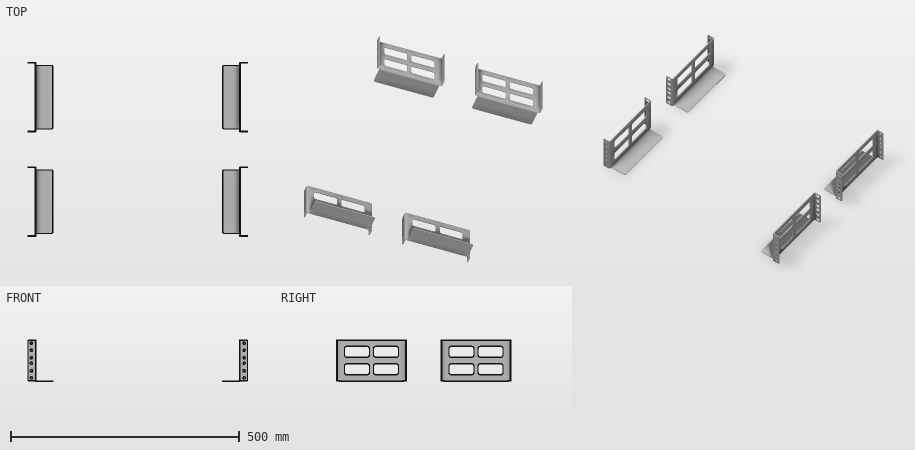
import cadquery as cq

set_width = 480.77
set_depth = 381.0
bracket_height = 90.73
bracket_length = 152.4

sheet = 1.83
ear_bend_inner = 0.6
ear_bend_outer = ear_bend_inner + sheet
shelf_bend_inner = 1.1
shelf_bend_outer = shelf_bend_inner + sheet

ear_width = 17.6
ear_corner = 2.5

shelf_reach = 37.3
shelf_length = 139.7
shelf_corner = 3.8

hole_diameter = 4.5
slot_width = 6.5
slot_length = 9.6
hole_to_tip = 7.8
hole_pitch = 15.875
middle_hole_pitch = 12.7
hole_pairs = 3

window_length = 54.0
window_height = 23.2
window_length_gap = 9.8
window_height_gap = 15.0
window_corner = 4.2

wall_bottom = sheet
ear_height = bracket_height - wall_bottom
ear_middle = wall_bottom + ear_height / 2
ear_tip_x = sheet - ear_width
shelf_end_x = sheet + shelf_reach
half_length = bracket_length / 2

bracket_offset_x = set_width / 2 + ear_tip_x
bracket_offset_y = (set_depth - bracket_length) / 2


def make_wall_with_ears():
    """Upright wall with an ear bent outward at each end."""
    ear_inner_y = half_length - sheet
    folded = (
        cq.Workplane("XY")
        .workplane(offset=wall_bottom)
        .moveTo(ear_tip_x, -half_length)
        .lineTo(sheet, -half_length)
        .lineTo(sheet, half_length)
        .lineTo(ear_tip_x, half_length)
        .lineTo(ear_tip_x, ear_inner_y)
        .lineTo(0, ear_inner_y)
        .lineTo(0, -ear_inner_y)
        .lineTo(ear_tip_x, -ear_inner_y)
        .close()
        .extrude(ear_height)
    )
    folded = folded.edges("(|Z exc >X) exc <X").fillet(ear_bend_inner)
    folded = folded.edges("|Z and >X").fillet(ear_bend_outer)
    return folded.faces("<X").edges("|Y").fillet(ear_corner)


def make_shelf():
    """Flat shelf with the bend that joins it to the bottom of the wall."""
    shelf = (
        cq.Workplane("XZ")
        .moveTo(0, shelf_bend_outer)
        .radiusArc((shelf_bend_outer, 0), -shelf_bend_outer)
        .lineTo(shelf_end_x, 0)
        .lineTo(shelf_end_x, sheet)
        .lineTo(shelf_bend_outer, sheet)
        .radiusArc((sheet, shelf_bend_outer), shelf_bend_inner)
        .close()
        .extrude(shelf_length / 2, both=True)
    )
    return shelf.edges("|Z and >X").fillet(shelf_corner)


def make_ear_hole_rows():
    """Points of the rack holes on the XZ plane, symmetric about the ear's middle height."""
    points = []
    for pair in range(hole_pairs):
        offset = middle_hole_pitch / 2 + pair * hole_pitch
        for side in (-1, 1):
            points.append((ear_tip_x + hole_to_tip, ear_middle + side * offset))
    return cq.Workplane("XZ").pushPoints(points)


def make_round_hole_cutter():
    return make_ear_hole_rows().circle(hole_diameter / 2).extrude(half_length)


def make_slot_cutter():
    return make_ear_hole_rows().slot2D(slot_length, slot_width).extrude(-half_length)


def make_window_cutter():
    """Two by two rounded windows through the wall."""
    return (
        cq.Workplane("YZ")
        .center(0, ear_middle)
        .rarray(window_length + window_length_gap, window_height + window_height_gap, 2, 2)
        .rect(window_length, window_height)
        .extrude(sheet)
        .edges("|X")
        .fillet(window_corner)
    )


def make_bracket():
    bracket = make_wall_with_ears().union(make_shelf())
    for cutter in (make_round_hole_cutter(), make_slot_cutter(), make_window_cutter()):
        bracket = bracket.cut(cutter)
    return bracket


front_left = make_bracket().translate((-bracket_offset_x, -bracket_offset_y, 0))
front_right = front_left.mirror("YZ")

brackets = []
for front_bracket in (front_left, front_right):
    back_bracket = front_bracket.mirror("XZ")
    brackets.append(front_bracket.val().Solids()[0])
    brackets.append(back_bracket.val().Solids()[0])

result = cq.Compound.makeCompound(brackets)